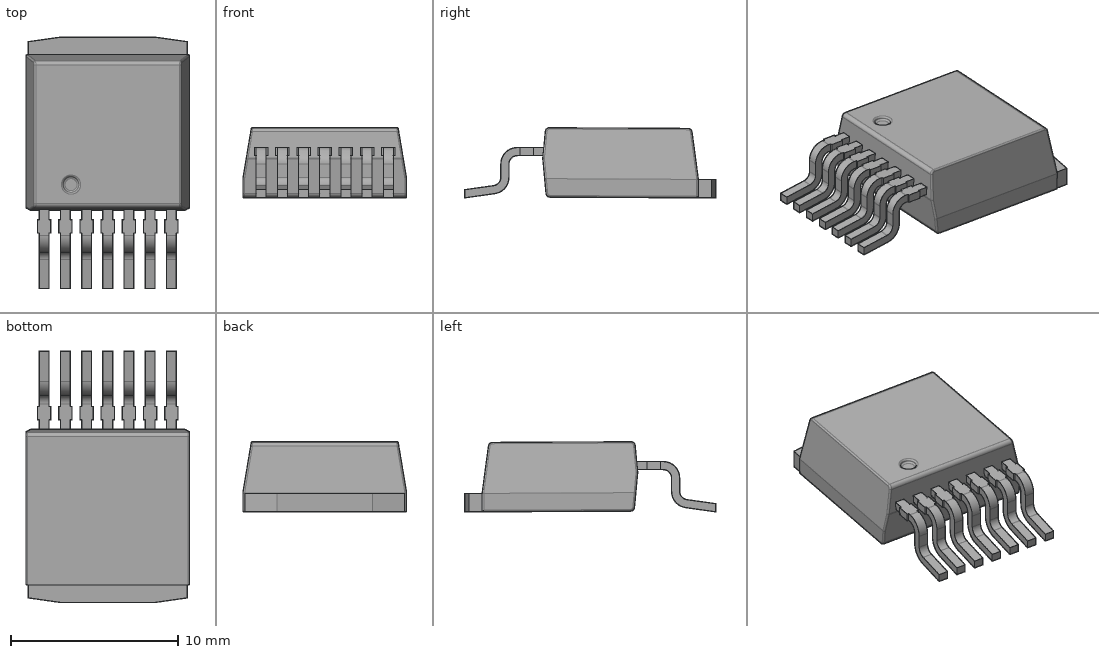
import cadquery as cq
import math

OVERALL_LENGTH = 15.05

HOUSING_WIDTH = 9.81
HOUSING_LENGTH = 9.33
HOUSING_HEIGHT = 4.17
SIDE_WALL_HEIGHT = 1.11
BACK_WALL_HEIGHT = 1.13
PARTING_HEIGHT = 2.32
SIDE_TOP_INSET = 0.51
BACK_TOP_INSET = 0.42
FRONT_TOP_INSET = 0.17
FRONT_BOTTOM_INSET = 0.23
END_FILLET = 0.25
SIDE_FILLET = 0.1
HOUSING_FRONT_RISE = 0.05

MARK_X = -2.2
MARK_FROM_BACK = 7.8
MARK_RADIUS = 0.47
MARK_ROUND = 0.1
MARK_DEPTH = 2 * MARK_ROUND

TAB_WIDTH = 9.53
TAB_LENGTH = 1.05
TAB_THICKNESS = 1.11
TAB_EDGE_LENGTH = 5.7
TAB_CORNER_DROP = 0.27

LEAD_COUNT = 7
LEAD_ROW_SPAN = 7.62
LEAD_WIDTH = 0.6
LEAD_THICKNESS = 0.5
LEAD_TOP = 3.03
LEAD_INNER_RADIUS = 0.5
LEAD_REACH = 2.17
LEAD_TIP_Y = TAB_LENGTH - OVERALL_LENGTH
FOOT_SLOPE = 8
COLLAR_WIDTH = 0.81
COLLAR_LENGTH = 0.81
COLLAR_FROM_TIP = 3.31


def end_profile():
    """Side outline of the housing, drawn in Y and Z."""
    return [
        (0, 0),
        (0, BACK_WALL_HEIGHT),
        (-BACK_TOP_INSET, HOUSING_HEIGHT),
        (FRONT_TOP_INSET - HOUSING_LENGTH, HOUSING_HEIGHT),
        (-HOUSING_LENGTH, PARTING_HEIGHT),
        (FRONT_BOTTOM_INSET - HOUSING_LENGTH, 0),
    ]


def side_profile():
    """End outline of the housing, drawn in X and Z."""
    half_width = HOUSING_WIDTH / 2
    top_half_width = half_width - SIDE_TOP_INSET
    return [
        (-half_width, 0),
        (half_width, 0),
        (half_width, SIDE_WALL_HEIGHT),
        (top_half_width, HOUSING_HEIGHT),
        (-top_half_width, HOUSING_HEIGHT),
        (-half_width, SIDE_WALL_HEIGHT),
    ]


def pin_one_mark():
    """Round sunken mark: a rounded rim that runs straight into a rounded floor edge."""
    waist_z = -MARK_DEPTH / 2
    floor_radius = MARK_RADIUS - MARK_ROUND
    rim_radius = MARK_RADIUS + MARK_ROUND
    bend = MARK_ROUND * math.sqrt(0.5)
    outline = (
        cq.Workplane("XZ")
        .lineTo(0, -MARK_DEPTH)
        .lineTo(floor_radius, -MARK_DEPTH)
        .threePointArc((floor_radius + bend, waist_z - bend), (MARK_RADIUS, waist_z))
        .threePointArc((rim_radius - bend, -MARK_ROUND + bend), (rim_radius, 0))
        .close()
    )
    return outline.revolve(360, (0, 0, 0), (0, 1, 0))


def make_housing():
    """Tapered block with long end rounds, fine side rounds and the pin-one mark."""
    block = cq.Workplane("YZ").polyline(end_profile()).close().extrude(HOUSING_WIDTH / 2, both=True)
    block = block.faces(">Z").edges("|X").fillet(END_FILLET)
    block = block.edges("|X and <Y").fillet(END_FILLET)
    block = block.faces("<Z").edges("|X and <Y").fillet(END_FILLET)
    tapered = block.intersect(cq.Workplane("XZ").polyline(side_profile()).close().extrude(HOUSING_LENGTH))

    side_edges = tapered.edges("not (|X or (|Y exc (<Z or >Z)))")
    rounded = side_edges.fillet(SIDE_FILLET)

    mark = pin_one_mark().translate((MARK_X, -MARK_FROM_BACK, HOUSING_HEIGHT))
    marked = rounded.cut(mark)
    tilt = math.degrees(math.asin(HOUSING_FRONT_RISE / HOUSING_LENGTH))
    return marked.rotate((0, 0, 0), (1, 0, 0), -tilt)


def make_tab(housing):
    """Plate behind the housing whose far edge narrows to a shorter flat."""
    half_width = TAB_WIDTH / 2
    half_edge = TAB_EDGE_LENGTH / 2
    outline = [
        (-half_width, 0),
        (half_width, 0),
        (half_width, TAB_LENGTH - TAB_CORNER_DROP),
        (half_edge, TAB_LENGTH),
        (-half_edge, TAB_LENGTH),
        (-half_width, TAB_LENGTH - TAB_CORNER_DROP),
    ]
    return cq.Workplane("XY").polyline(outline).close().extrude(TAB_THICKNESS).cut(housing)


def on_arc(y, z, radius, angle):
    """Point at an angle on a circle centred at (y, z)."""
    return (y + radius * math.cos(angle), z + radius * math.sin(angle))


def make_lead(housing):
    """Gull-wing lead centred on X = 0, ending flush on the front wall of the housing."""
    thickness = LEAD_THICKNESS
    lead_bottom = LEAD_TOP - thickness
    inner = LEAD_INNER_RADIUS
    outer = inner + thickness
    slope = math.radians(FOOT_SLOPE)
    root_y = FRONT_TOP_INSET - HOUSING_LENGTH
    outer_face_y = LEAD_TIP_Y + LEAD_REACH
    inner_face_y = outer_face_y + thickness

    upper_y = outer_face_y + outer
    upper_z = LEAD_TOP - outer
    upper_mid = math.radians(135)

    lower_y = outer_face_y - inner
    tip_top_z = thickness / math.cos(slope)
    foot_rise = (lower_y - LEAD_TIP_Y) * math.tan(slope)
    lower_z = tip_top_z + foot_rise + inner / math.cos(slope)
    lower_end = slope - math.pi / 2
    lower_mid = lower_end / 2

    outline = (
        cq.Workplane("YZ")
        .moveTo(root_y, LEAD_TOP)
        .lineTo(upper_y, LEAD_TOP)
        .threePointArc(on_arc(upper_y, upper_z, outer, upper_mid), (outer_face_y, upper_z))
        .lineTo(outer_face_y, lower_z)
        .threePointArc(on_arc(lower_y, lower_z, inner, lower_mid), on_arc(lower_y, lower_z, inner, lower_end))
        .lineTo(LEAD_TIP_Y, tip_top_z)
        .lineTo(LEAD_TIP_Y, 0)
        .lineTo(*on_arc(lower_y, lower_z, outer, lower_end))
        .threePointArc(on_arc(lower_y, lower_z, outer, lower_mid), (inner_face_y, lower_z))
        .lineTo(inner_face_y, upper_z)
        .threePointArc(on_arc(upper_y, upper_z, inner, upper_mid), (upper_y, lead_bottom))
        .lineTo(root_y, lead_bottom)
        .close()
    )
    strip = outline.extrude(LEAD_WIDTH / 2, both=True)
    collar = cq.Workplane("XY").box(COLLAR_WIDTH, COLLAR_LENGTH, thickness, centered=(True, False, False))
    collar = collar.translate((0, LEAD_TIP_Y + COLLAR_FROM_TIP, lead_bottom))
    return strip.union(collar).cut(housing)


def make_leads(housing):
    """Row of separate, evenly spaced leads."""
    lead = make_lead(housing)
    pitch = LEAD_ROW_SPAN / (LEAD_COUNT - 1)
    leads = []
    for index in range(LEAD_COUNT):
        x = index * pitch - LEAD_ROW_SPAN / 2
        leads.append(lead.translate((x, 0, 0)).val())
    return leads


housing = make_housing()
tab = make_tab(housing)
leads = make_leads(housing)
result = cq.Compound.makeCompound([housing.val(), tab.val(), *leads])